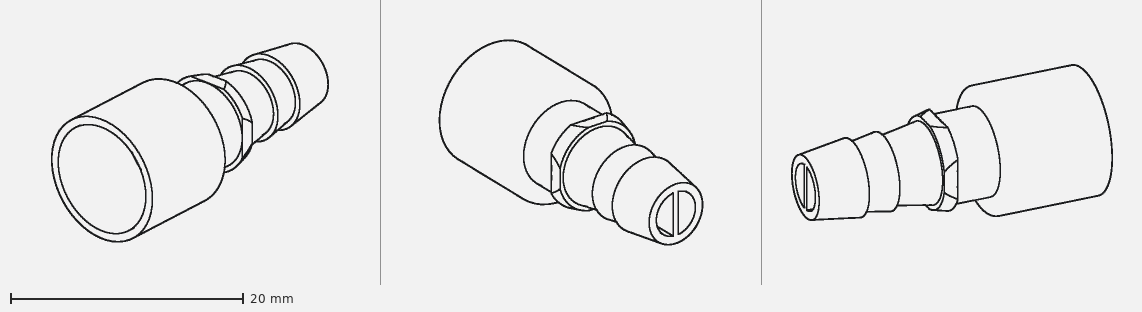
import cadquery as cq

total_length = 26.4

socket_diameter = 11.5
socket_length = 9.8
socket_edge_radius = 0.4
bore_diameter = 10.0
socket_floor = 0.77
bore_depth = socket_length - socket_floor

neck_diameter = 8.0

collar_start = 13.8
collar_length = 1.3
collar_end = collar_start + collar_length
collar_across_flats = 8.05
collar_back_radius = 4.45
collar_front_radius = 4.15

barb_one_start = 19.05
barb_two_start = 21.95
base_cone_radius = 3.7
barb_radius = 3.5
barb_root_radius = 3.0
tip_radius = 2.88

passage_diameter = 4.2
web_thickness = 0.55


def cylinder(start, length, diameter):
    """Solid cylinder along +Y."""
    sketch = cq.Workplane("XZ", origin=(0, start, 0)).circle(diameter / 2)
    return sketch.extrude(-length)


def cone(start, end, start_radius, end_radius):
    """Solid truncated cone about the Y axis."""
    profile = [(0, start), (start_radius, start), (end_radius, end), (0, end)]
    return cq.Workplane("XY").polyline(profile).close().revolve(360, (0, 0, 0), (0, 1, 0))


def make_socket():
    body = cylinder(0, socket_length, socket_diameter)
    return body.faces(">Y").edges().fillet(socket_edge_radius)


def make_collar():
    trimmed = cone(collar_start, collar_end, collar_back_radius, collar_front_radius)
    square = cq.Workplane("XZ", origin=(0, collar_start, 0)).rect(collar_across_flats, collar_across_flats)
    return trimmed.intersect(square.extrude(-collar_length))


def make_nozzle():
    nozzle = cone(collar_end, barb_one_start, base_cone_radius, barb_root_radius)
    nozzle = nozzle.union(cone(barb_one_start, barb_two_start, barb_radius, barb_root_radius))
    return nozzle.union(cone(barb_two_start, total_length, barb_radius, tip_radius))


def make_passage():
    """Round passage from the bore floor to the tip, less the web that stands along Z."""
    length = total_length - bore_depth
    web = cq.Workplane("XZ", origin=(0, bore_depth, 0)).rect(web_thickness, passage_diameter)
    return cylinder(bore_depth, length, passage_diameter).cut(web.extrude(-length))


neck = cylinder(socket_length, collar_start - socket_length, neck_diameter)
outside = make_socket().union(neck).union(make_collar()).union(make_nozzle())
bore = cylinder(0, bore_depth, bore_diameter)

result = outside.cut(bore).cut(make_passage())